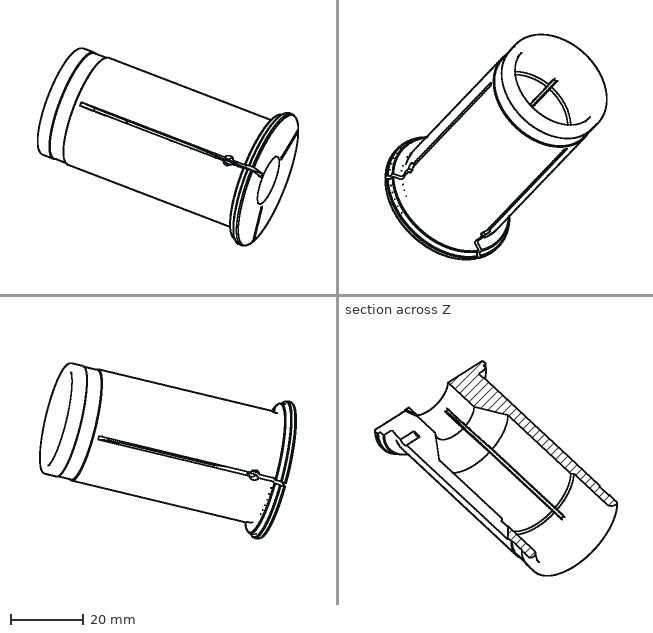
import cadquery as cq
import math

LENGTH = 63.5
BODY_R = 31.75 / 2
MOUTH_R = 31.55 / 2
NECK_R = 31.25 / 2

MOUTH_ROUND = 0.65
RELIEF_START = 3.8
RELIEF_END = 8.25
RELIEF_RAMP = 0.2
NECK_START = 58.35
NECK_TAPER = 0.8
NECK_FILLET = 0.4

FLANGE_R = 39.0 / 2
FLANGE_START = 61.9
INNER_FLANGE_R = 18.55
INNER_FLANGE_START = 60.45
FLANGE_CHAMFER = 0.25
BACK_CHAMFER = 0.45
FLANGE_FILLET = 0.25

BORE_R = 26.0 / 2
BORE_LIP = 1.6
STEP_START = 16.0
STEP_LENGTH = 0.5
STEP_R = 12.3
CONE_START = 43.8
EXIT_R = 14.0 / 2
EXIT_START = 52.1

SLOT_COUNT = 3
SLOT_WIDTH = 1.0
SLOT_START = 9.7
SLOT_FLOOR_R = 5.7
SLOT_EXIT_R = 8.4
ENTRY_SLOPE = math.tan(math.radians(40))
EXIT_SLOPE = math.tan(math.radians(20))
RELIEF_HOLE_D = 2.8
RELIEF_HOLE_X = 55.0
RELIEF_HOLE_FLOOR_R = 11.1

COS_45 = math.cos(math.radians(45))


def revolved_sleeve():
    """Revolve the wall section, drawn as (x, radius), around X."""
    lip_r = BORE_R + BORE_LIP
    lip_mid = BORE_LIP * (1 - COS_45)
    round_mid = (MOUTH_ROUND * (1 - COS_45), MOUTH_R - MOUTH_ROUND * (1 - COS_45))
    neck_end = INNER_FLANGE_START - NECK_FILLET
    fillet_mid = (neck_end + NECK_FILLET * COS_45, NECK_R + NECK_FILLET * (1 - COS_45))
    corner_mid = (
        FLANGE_START - FLANGE_FILLET * (1 - COS_45),
        INNER_FLANGE_R + FLANGE_FILLET * (1 - COS_45),
    )
    c = FLANGE_CHAMFER
    section = (
        cq.Workplane("XY")
        .moveTo(0, lip_r)
        .lineTo(0, MOUTH_R - MOUTH_ROUND)
        .threePointArc(round_mid, (MOUTH_ROUND, MOUTH_R))
        .lineTo(RELIEF_START, MOUTH_R)
        .lineTo(RELIEF_START + RELIEF_RAMP, NECK_R)
        .lineTo(RELIEF_END - RELIEF_RAMP, NECK_R)
        .lineTo(RELIEF_END, BODY_R)
        .lineTo(NECK_START, BODY_R)
        .lineTo(NECK_START + NECK_TAPER, NECK_R)
        .lineTo(neck_end, NECK_R)
        .threePointArc(fillet_mid, (INNER_FLANGE_START, NECK_R + NECK_FILLET))
        .lineTo(INNER_FLANGE_START, INNER_FLANGE_R - c)
        .lineTo(INNER_FLANGE_START + c, INNER_FLANGE_R)
        .lineTo(FLANGE_START - FLANGE_FILLET, INNER_FLANGE_R)
        .threePointArc(corner_mid, (FLANGE_START, INNER_FLANGE_R + FLANGE_FILLET))
        .lineTo(FLANGE_START, FLANGE_R - c)
        .lineTo(FLANGE_START + c, FLANGE_R)
        .lineTo(LENGTH - BACK_CHAMFER, FLANGE_R)
        .lineTo(LENGTH, FLANGE_R - c)
        .lineTo(LENGTH, EXIT_R)
        .lineTo(EXIT_START, EXIT_R)
        .lineTo(CONE_START, STEP_R)
        .lineTo(STEP_START + STEP_LENGTH, STEP_R)
        .lineTo(STEP_START, BORE_R)
        .lineTo(BORE_LIP, BORE_R)
        .threePointArc((lip_mid, BORE_R + lip_mid), (0, lip_r))
        .close()
    )
    return section.revolve(360, (0, 0, 0), (1, 0, 0))


def slot_cutter():
    """Slot toward +Y with sloped ends and a blind round hole on it."""
    outside_r = FLANGE_R + 0.65
    slot = (
        cq.Workplane("XY")
        .workplane(offset=-SLOT_WIDTH / 2)
        .moveTo(SLOT_START - (outside_r - BODY_R) / ENTRY_SLOPE, outside_r)
        .lineTo(SLOT_START + (BODY_R - SLOT_FLOOR_R) / ENTRY_SLOPE, SLOT_FLOOR_R)
        .lineTo(LENGTH - (SLOT_EXIT_R - SLOT_FLOOR_R) / EXIT_SLOPE, SLOT_FLOOR_R)
        .lineTo(LENGTH, SLOT_EXIT_R)
        .lineTo(LENGTH, outside_r)
        .close()
        .extrude(SLOT_WIDTH)
    )
    hole = (
        cq.Workplane("XZ", origin=(RELIEF_HOLE_X, RELIEF_HOLE_FLOOR_R, 0))
        .circle(RELIEF_HOLE_D / 2)
        .extrude(RELIEF_HOLE_FLOOR_R - outside_r)
    )
    return slot.union(hole)


result = revolved_sleeve()
cutter = slot_cutter()
for i in range(SLOT_COUNT):
    result = result.cut(cutter.rotate((0, 0, 0), (1, 0, 0), i * 360 / SLOT_COUNT))